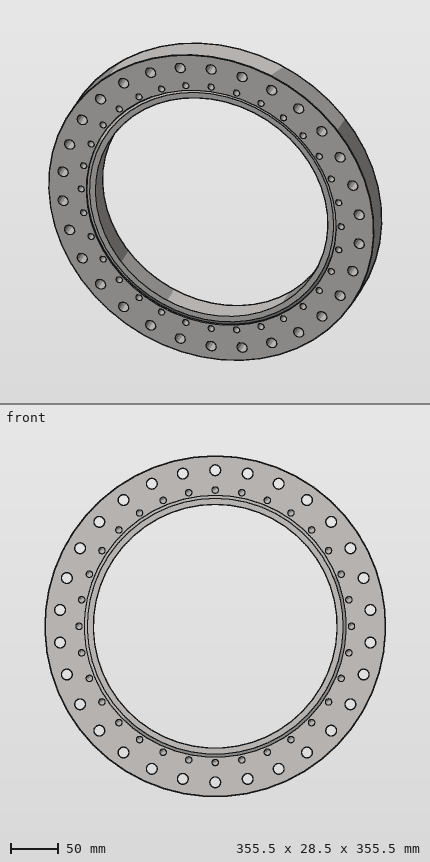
import cadquery as cq
import math

outer_diameter = 355.5
thickness = 28.5
bore_diameter = 254.0
edge_chamfer = 0.55

seat_diameter = 273.0
knife_diameter = 266.7
seat_depth = 2.5
land_depth = 1.5

bolt_count = 30
bolt_circle = 325.5
bolt_diameter = 11.0

tapped_count = 32
tapped_circle = 284.0
tapped_diameter = 6.8
tapped_depth = 14.2
drill_tip_angle = 118.0

top_angle = 90.0
front_y = -thickness / 2
back_y = thickness / 2


def flange_body():
    """Revolve the ring section, which is the same on both faces, about the Y axis."""
    outer_radius = outer_diameter / 2
    bore_radius = bore_diameter / 2
    knife_radius = knife_diameter / 2
    seat_radius = seat_diameter / 2
    section = [
        (bore_radius, front_y + land_depth),
        (knife_radius, front_y + land_depth),
        (seat_radius, front_y + seat_depth),
        (seat_radius, front_y),
        (outer_radius - edge_chamfer, front_y),
        (outer_radius, front_y + edge_chamfer),
        (outer_radius, back_y - edge_chamfer),
        (outer_radius - edge_chamfer, back_y),
        (seat_radius, back_y),
        (seat_radius, back_y - seat_depth),
        (knife_radius, back_y - land_depth),
        (bore_radius, back_y - land_depth),
    ]
    return cq.Workplane("ZY").polyline(section).close().revolve(360, (0, 0, 0), (0, 1, 0))


def front_circle(circle_diameter, count):
    """Evenly spaced points on the front face, the first at the top (+Z)."""
    face = cq.Workplane("XZ", origin=(0, front_y, 0))
    return face.polarArray(circle_diameter / 2, top_angle, 360, count)


def bolt_holes():
    """Cylinders through the full thickness."""
    return front_circle(bolt_circle, bolt_count).circle(bolt_diameter / 2).extrude(-thickness)


def tapped_holes():
    """Drill shapes that enter the front face and end in a cone."""
    radius = tapped_diameter / 2
    tip_length = radius / math.tan(math.radians(drill_tip_angle / 2))
    drill_outline = [
        (0, 0),
        (radius, 0),
        (radius, -tapped_depth),
        (0, -tapped_depth - tip_length),
    ]
    drill = cq.Workplane("XZ").polyline(drill_outline).close().revolve(360, (0, 0, 0), (0, 1, 0)).val()
    return front_circle(tapped_circle, tapped_count).eachpoint(drill, useLocalCoordinates=True)


result = flange_body().cut(bolt_holes()).cut(tapped_holes())